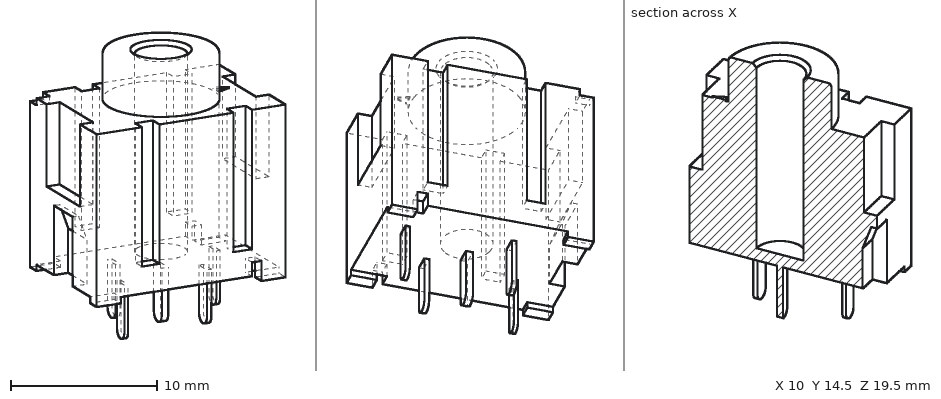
import cadquery as cq


WIDTH = 10.0
FRONT_Y = -7.5
BACK_Y = 7.0
HOUSING_HEIGHT = 12.4
HALF_WIDTH = WIDTH / 2

LEG_WIDTH = 1.0
LEG_LENGTH = 1.85
PLATE_BOTTOM = 0.45
PLATE_THICKNESS = 1.0
PLATE_TOP = PLATE_BOTTOM + PLATE_THICKNESS
PLATE_INNER_WIDTH = WIDTH - 2 * LEG_WIDTH

RECESS_WIDTH = 5.0
RECESS_DEPTH = 1.0
TONGUE_TOP = 6.5
TONGUE_THICKNESS = 1.1

WINDOW_WIDTH = 2.8
WINDOW_TOP = 5.45
WINDOW_SLOPE_BOTTOM = 3.65
WINDOW_TOP_DEPTH = 0.45

SLOT_DEPTH = 1.0
SLOT_LENGTH = 10.0
REAR_SLOT = (3.0, 4.43)
FRONT_SLOT = (-4.03, -2.68)

CORNER_NOTCH_SIDE = 1.0
CORNER_NOTCH_HEIGHT = 0.5

COLLAR_DIAMETER = 8.0
COLLAR_HEIGHT = 3.55
COLLAR_FILLET = 0.3
HOLE_DIAMETER = 3.6
HOLE_CHAMFER = 0.3
COLLAR_TOP = HOUSING_HEIGHT + COLLAR_HEIGHT
HOLE_DEPTH = COLLAR_TOP - PLATE_TOP

MARK_WIDTH = 0.8
MARK_LENGTH = 1.0
MARK_TIP_Y = 5.2
MARK_HEIGHT = 0.1

PIN_LENGTH = 4.0
WIDE_PIN = 1.2
NARROW_PIN = 1.1
PINS = [
    (0.0, 0.0, WIDE_PIN, 0.5),
    (-2.2, -2.5, WIDE_PIN, 0.35),
    (1.73, 2.5, WIDE_PIN, 0.35),
    (-1.68, 4.97, NARROW_PIN, 0.3),
    (2.2, -4.08, NARROW_PIN, 0.3),
]


def block(x_range, y_range, z_range):
    """Box spanning the given (low, high) limits along each axis."""
    sizes = [high - low for low, high in (x_range, y_range, z_range)]
    corner = (x_range[0], y_range[0], z_range[0])
    return cq.Workplane("XY").box(*sizes, centered=False).translate(corner)


def centred(width):
    """Limits of a width centred on the jack axis."""
    return (-width / 2, width / 2)


def end_blocks(depth, z_range):
    """Recess-wide blocks reaching inward from the front and back faces."""
    front = block(centred(RECESS_WIDTH), (FRONT_Y, FRONT_Y + depth), z_range)
    back = block(centred(RECESS_WIDTH), (BACK_Y - depth, BACK_Y), z_range)
    return front.union(back)


def make_housing():
    body = block(centred(WIDTH), (FRONT_Y, BACK_Y), (0, HOUSING_HEIGHT))

    lengthwise = block(centred(PLATE_INNER_WIDTH), (FRONT_Y, BACK_Y), (0, PLATE_TOP))
    crosswise = block(centred(WIDTH), (FRONT_Y + LEG_LENGTH, BACK_Y - LEG_LENGTH), (0, PLATE_TOP))
    body = body.cut(lengthwise).cut(crosswise)

    body = body.cut(end_blocks(RECESS_DEPTH, (TONGUE_TOP, HOUSING_HEIGHT)))
    body = body.cut(end_blocks(TONGUE_THICKNESS, (PLATE_TOP, TONGUE_TOP)))

    slot_z = (HOUSING_HEIGHT - SLOT_LENGTH, HOUSING_HEIGHT)
    for slot_y in (REAR_SLOT, FRONT_SLOT):
        body = body.cut(block((-HALF_WIDTH, -HALF_WIDTH + SLOT_DEPTH), slot_y, slot_z))
        body = body.cut(block((HALF_WIDTH - SLOT_DEPTH, HALF_WIDTH), slot_y, slot_z))

    notch = block(
        (-HALF_WIDTH, -HALF_WIDTH + CORNER_NOTCH_SIDE),
        (FRONT_Y, FRONT_Y + CORNER_NOTCH_SIDE),
        (HOUSING_HEIGHT - CORNER_NOTCH_HEIGHT, HOUSING_HEIGHT),
    )
    return body.cut(notch)


def make_base():
    plate_z = (PLATE_BOTTOM, PLATE_TOP)
    plate = block(centred(PLATE_INNER_WIDTH), (FRONT_Y, BACK_Y), plate_z)
    wide_part = block(centred(WIDTH), (FRONT_Y + LEG_LENGTH, REAR_SLOT[1]), plate_z)
    return plate.union(wide_part).union(end_blocks(TONGUE_THICKNESS, (PLATE_BOTTOM, TONGUE_TOP)))


def make_window():
    inner_y = FRONT_Y + TONGUE_THICKNESS
    profile = [
        (FRONT_Y, PLATE_BOTTOM),
        (inner_y, PLATE_BOTTOM),
        (inner_y, WINDOW_SLOPE_BOTTOM),
        (FRONT_Y + WINDOW_TOP_DEPTH, WINDOW_TOP),
        (FRONT_Y, WINDOW_TOP),
    ]
    return cq.Workplane("YZ").polyline(profile).close().extrude(WINDOW_WIDTH / 2, both=True)


def make_collar():
    collar = cq.Workplane("XY").workplane(offset=HOUSING_HEIGHT).circle(COLLAR_DIAMETER / 2)
    return collar.extrude(COLLAR_HEIGHT).faces(">Z").edges().fillet(COLLAR_FILLET)


def make_plug_hole():
    """Blind bore with a chamfered mouth at the collar top."""
    bore_radius = HOLE_DIAMETER / 2
    mouth_radius = bore_radius + HOLE_CHAMFER
    profile = [
        (0, COLLAR_TOP - HOLE_DEPTH),
        (bore_radius, COLLAR_TOP - HOLE_DEPTH),
        (bore_radius, COLLAR_TOP - HOLE_CHAMFER),
        (mouth_radius, COLLAR_TOP),
        (0, COLLAR_TOP),
    ]
    return cq.Workplane("XZ").polyline(profile).close().revolve(360, (0, 0), (0, 1))


def make_mark():
    base_y = MARK_TIP_Y - MARK_LENGTH
    outline = [(-MARK_WIDTH / 2, base_y), (MARK_WIDTH / 2, base_y), (0, MARK_TIP_Y)]
    return cq.Workplane("XY").workplane(offset=HOUSING_HEIGHT).polyline(outline).close().extrude(MARK_HEIGHT)


def make_pin(x, y, width, thickness):
    """Flat pin hanging from the base plate, with a fully rounded tip."""
    radius = width / 2
    tip_z = PLATE_BOTTOM - PIN_LENGTH
    outline = (
        cq.Workplane("XZ")
        .moveTo(x - radius, PLATE_BOTTOM)
        .lineTo(x - radius, tip_z + radius)
        .threePointArc((x, tip_z), (x + radius, tip_z + radius))
        .lineTo(x + radius, PLATE_BOTTOM)
        .close()
    )
    return outline.extrude(thickness / 2, both=True).translate((0, y, 0))


base = make_base().cut(make_window())
result = make_housing().union(base, clean=False)
result = result.union(make_collar(), clean=False)
result = result.union(make_mark(), clean=False)
for pin in PINS:
    result = result.union(make_pin(*pin), clean=False)
result = result.cut(make_plug_hole(), clean=False)